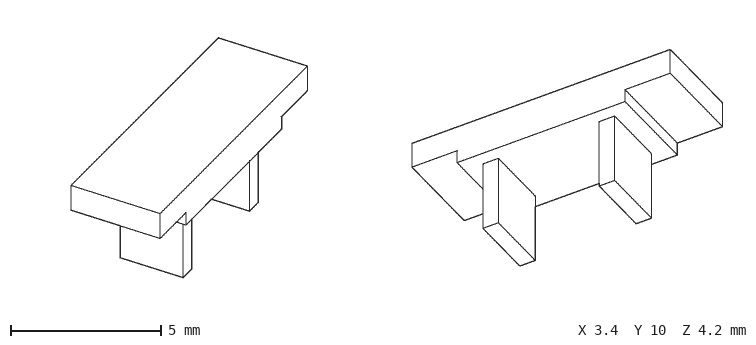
import cadquery as cq

plate_width = 3.4
plate_length = 10.0
plate_thickness = 1.0

step_length = 6.5
step_thickness = 0.5

leg_width = 2.4
leg_thickness = 0.6
leg_height = 2.7
leg_spacing = 4.5

step_bottom = leg_height
plate_bottom = step_bottom + step_thickness


def block(width, length, height, bottom, center_y=0.0):
    """Box centred on X = 0 and Y = center_y, rising from Z = bottom."""
    return (
        cq.Workplane("XY")
        .box(width, length, height, centered=(True, True, False))
        .translate((0, center_y, bottom))
    )


plate = block(plate_width, plate_length, plate_thickness, plate_bottom)
step = block(plate_width, step_length, step_thickness, step_bottom)
result = plate.union(step)

for side in (-1, 1):
    leg = block(leg_width, leg_thickness, leg_height, 0.0, side * leg_spacing / 2)
    result = result.union(leg)

result = result.clean()